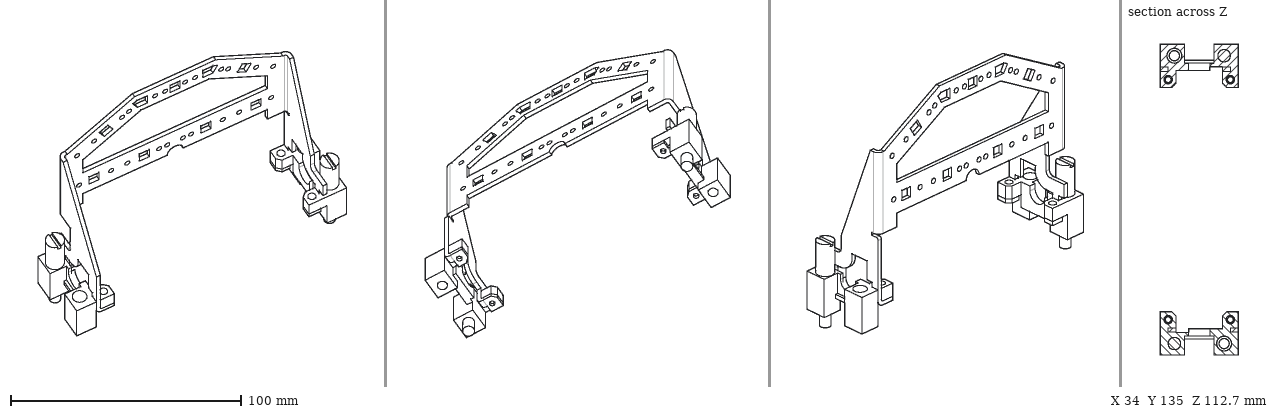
import cadquery as cq
import math

WIDTH_X = 34.0
LENGTH_Y = 135.0
MID_X = WIDTH_X / 2
Z_BASE = 0.0
Z_TOP = 112.7
CUT = 13.5

SHEET = 2.0
BEND_OUTER = 3.0
BEND_INNER = BEND_OUTER - SHEET
FLANGE_Y = 57.6
WEB_HALF_Y = FLANGE_Y - BEND_OUTER

WEB_BOTTOM_Z = 52.9
SHOULDER_Z = 93.3
SLOPE = math.radians(30)
ARCH_TOP_HALF_Y = 20.2
SHOULDER_HALF_Y = ARCH_TOP_HALF_Y + (Z_TOP - SHOULDER_Z) / math.tan(SLOPE)
WINDOW_HALF_Y = 46.2
WINDOW_BOTTOM_Z = 74.9
WINDOW_TOP_Z = 101.0
WINDOW_TOP_HALF_Y = 17.0
WINDOW_SIDE_Z = WINDOW_TOP_Z - (WINDOW_HALF_Y - WINDOW_TOP_HALF_Y) * math.tan(SLOPE)
CROSSBAR_BOTTOM_Z = 59.8
NOTCH_RADIUS = 3.9
SMALL_HOLE_D = 2.4
SQUARE = 5.0

TOP_ROW_Z = 106.6
TOP_ROW_HOLES_Y = [5.0, 10.0]
CROSSBAR_ROW_Z = 67.2
CROSSBAR_HOLES_Y = [3.9, 8.0, 23.9, 32.0, 48.0]
CROSSBAR_SQUARES_Y = [15.4, 40.5]
CORNER_ROW_Y = 18.6
SLOPE_HOLES = [5.1, 9.2, 25.2, 35.1]
SLOPE_SQUARE = 18.4
CORNER_WINDOW_INNER_Y = 13.9
CORNER_WINDOW_SIDE = 4.5

SLANT_TOP_X = 4.9
SLANT_END_Z = 44.1
FLANGE_BOTTOM_Z = 28.5
SCREW_NOTCH_X = 11.1
SCREW_NOTCH_Z = 35.4
SCREW_NOTCH_RADIUS = 2.4
OPENING_TOP_Z = 37.8
OPENING_END_X = 27.0
LOBE_RADIUS = 7.3
LOBE_X = 10.7
RELIEF_LENGTH = 4.2
RELIEF_HEIGHT = 1.2
RELIEF_CORNER = 1.1

EAR_WIDTH = 7.0
EAR_TIP_Y = 48.6
EAR_CHAMFER = 2.0
EAR_LEFT_XS = [0.0, WIDTH_X - EAR_WIDTH]
EAR_HOLE_Y = 52.1
LEG_OFFSET = 3.4
TAB_BOTTOM_Z = 17.7
TAB_TOP_Z = TAB_BOTTOM_Z + SHEET
TAB_HOLE_D = 2.4
EAR_HOLE_D = 3.5

BLOCK_TOP_Z = 26.2
BLOCK_BOTTOM_Z = 7.3
GUIDE_POST_BOTTOM_Z = 8.1
POST_WIDTH = 10.7
BRIDGE_INNER_Y = 56.0
BRIDGE_OUTER_Y = 59.3
LIP_Y = 60.6
LIP_TOP_Z = 16.2
LIP_BOTTOM_Z = 14.2
BRIDGE_BOTTOM_Z = 13.5
SADDLE_RADIUS = 4.6
SADDLE_Z = 23.8
SCREW_X = 6.2
SCREW_Y = 62.5
GUIDE_HOLE_D = 4.3
COUNTERBORE_D = 6.3
COUNTERBORE_DEPTH = 9.5

HEAD_D = 8.4
HEAD_TOP_Z = 42.0
SHANK_D = 5.1
SLOT_WIDTH = 1.6
SLOT_DEPTH = 1.4


def box(x0, x1, y0, y1, z0, z1):
    return cq.Workplane("XY").box(x1 - x0, y1 - y0, z1 - z0, centered=False).translate((x0, y0, z0))


def upright_cylinder(x, y, diameter, z0, z1):
    return cq.Workplane("XY", origin=(x, y, z0)).circle(diameter / 2).extrude(z1 - z0)


def opposite_end(body):
    """Half turn about the vertical centre line, from the -Y end to the +Y end."""
    return body.rotate((MID_X, 0, 0), (MID_X, 0, 1), 180)


def bend(plane, u, v, length):
    """Quarter ring of sheet around (u, v), lying on the -u, -v side of it."""
    diagonal = math.sqrt(0.5)
    return (
        plane.moveTo(u - BEND_OUTER, v)
        .threePointArc((u - BEND_OUTER * diagonal, v - BEND_OUTER * diagonal), (u, v - BEND_OUTER))
        .lineTo(u, v - BEND_INNER)
        .threePointArc((u - BEND_INNER * diagonal, v - BEND_INNER * diagonal), (u - BEND_INNER, v))
        .close()
        .extrude(length)
    )


def yz_prism(points, x0, x1):
    """Prism of a (y, z) outline from x0 to x1."""
    return cq.Workplane("YZ", origin=(x0, 0, 0)).polyline(points).close().extrude(x1 - x0)


def web_square(y, z, turn=0.0):
    return (
        cq.Workplane("YZ", origin=(-CUT, y, z))
        .transformed(rotate=(0, 0, turn))
        .rect(SQUARE, SQUARE)
        .extrude(2 * CUT)
    )


def along_slope(distance, side):
    y = CORNER_ROW_Y + distance * math.cos(SLOPE)
    z = TOP_ROW_Z - distance * math.sin(SLOPE)
    return side * y, z


def corner_window(side):
    """Five-sided window where the arch turns: a square running into a tilted square."""
    bottom = TOP_ROW_Z - SQUARE / 2
    top = TOP_ROW_Z + SQUARE / 2
    low_y = CORNER_WINDOW_INNER_Y + SQUARE
    tip_y = low_y + CORNER_WINDOW_SIDE * math.sin(SLOPE)
    tip_z = bottom + CORNER_WINDOW_SIDE * math.cos(SLOPE)
    shoulder_y = tip_y - (top - tip_z) / math.tan(SLOPE)
    points = [
        (CORNER_WINDOW_INNER_Y, bottom),
        (low_y, bottom),
        (tip_y, tip_z),
        (shoulder_y, top),
        (CORNER_WINDOW_INNER_Y, top),
    ]
    return yz_prism([(side * y, z) for y, z in points], -CUT, CUT)


def make_web():
    half_outline = [
        (WINDOW_HALF_Y, CROSSBAR_BOTTOM_Z),
        (WINDOW_HALF_Y, WEB_BOTTOM_Z),
        (WEB_HALF_Y, WEB_BOTTOM_Z),
        (WEB_HALF_Y, SHOULDER_Z),
        (SHOULDER_HALF_Y, SHOULDER_Z),
        (ARCH_TOP_HALF_Y, Z_TOP),
    ]
    outline = half_outline + [(-y, z) for y, z in reversed(half_outline)]
    web = yz_prism(outline, 0, SHEET)

    half_window = [
        (WINDOW_HALF_Y, WINDOW_BOTTOM_Z),
        (WINDOW_HALF_Y, WINDOW_SIDE_Z),
        (WINDOW_TOP_HALF_Y, WINDOW_TOP_Z),
    ]
    window = half_window + [(-y, z) for y, z in reversed(half_window)]
    web = web.cut(yz_prism(window, -CUT, CUT))

    hole_points = []
    for side in (-1, 1):
        hole_points += [(side * y, TOP_ROW_Z) for y in TOP_ROW_HOLES_Y]
        hole_points += [(side * y, CROSSBAR_ROW_Z) for y in CROSSBAR_HOLES_Y]
        hole_points += [along_slope(distance, side) for distance in SLOPE_HOLES]
        for y in CROSSBAR_SQUARES_Y:
            web = web.cut(web_square(side * y, CROSSBAR_ROW_Z))
        web = web.cut(web_square(*along_slope(SLOPE_SQUARE, side), turn=-side * math.degrees(SLOPE)))
        web = web.cut(corner_window(side))
    web = web.cut(web_square(0, TOP_ROW_Z))

    through = cq.Workplane("YZ", origin=(-CUT, 0, 0))
    web = web.cut(through.pushPoints(hole_points).circle(SMALL_HOLE_D / 2).extrude(2 * CUT))
    return web.cut(through.center(0, CROSSBAR_BOTTOM_Z).circle(NOTCH_RADIUS).extrude(2 * CUT))


def flange_blank(slant_end_x):
    """Uncut side flange at the -Y end; above the web bottom it starts at the bend."""
    outline = [
        (0, SLANT_END_Z),
        (slant_end_x, SLANT_END_Z),
        (SLANT_TOP_X, SHOULDER_Z),
        (BEND_OUTER, SHOULDER_Z),
        (BEND_OUTER, WEB_BOTTOM_Z),
        (0, WEB_BOTTOM_Z),
    ]
    inner_y = -FLANGE_Y + SHEET
    upper = cq.Workplane("XZ", origin=(0, inner_y, 0)).polyline(outline).close().extrude(SHEET)
    lower = box(0, WIDTH_X, -FLANGE_Y, inner_y, FLANGE_BOTTOM_Z, SLANT_END_Z)
    return upper.union(lower)


def screw_notch():
    """Clearance for the screw head at the -Y end, rounded in its inner lower corner."""
    notch = box(-CUT, SCREW_NOTCH_X, -FLANGE_Y - CUT, -FLANGE_Y + CUT, SCREW_NOTCH_Z, WEB_BOTTOM_Z)
    return notch.edges("|Y and >X and <Z").fillet(SCREW_NOTCH_RADIUS)


def flange_opening():
    """Opening above the saddle at the -Y end; the flange ends in a round lobe beside it."""
    y0, y1 = -FLANGE_Y - CUT, -FLANGE_Y + CUT
    opening = box(LOBE_X, OPENING_END_X, y0, y1, FLANGE_BOTTOM_Z, OPENING_TOP_Z)
    lobe = (
        cq.Workplane("XZ", origin=(LOBE_X, y1, FLANGE_BOTTOM_Z + LOBE_RADIUS))
        .circle(LOBE_RADIUS)
        .extrude(y1 - y0)
    )
    return opening.cut(lobe)


def bend_relief():
    """Slit under the bend at the +Y end, with the rounded corner below it."""
    y0, y1 = FLANGE_Y - CUT, FLANGE_Y + CUT
    slit_z = WEB_BOTTOM_Z - RELIEF_HEIGHT
    slit = box(-CUT, RELIEF_LENGTH, y0, y1, slit_z, WEB_BOTTOM_Z)
    corner = box(0, RELIEF_CORNER, y0, y1, slit_z - RELIEF_CORNER, slit_z)
    rounding = (
        cq.Workplane("XZ", origin=(RELIEF_CORNER, y1, slit_z - RELIEF_CORNER))
        .circle(RELIEF_CORNER)
        .extrude(y1 - y0)
    )
    return slit.union(corner.cut(rounding))


def chamfered_ear(left_x, root_y, z0, z1):
    """Flat ear at the -Y end, with its tip corner towards the middle cut off."""
    ear = box(left_x, left_x + EAR_WIDTH, root_y, -EAR_TIP_Y, z0, z1)
    corner = "|Z and >X and >Y" if left_x < MID_X else "|Z and <X and >Y"
    return ear.edges(corner).chamfer(EAR_CHAMFER)


def ear_hole(left_x, diameter):
    return upright_cylinder(left_x + EAR_WIDTH / 2, -EAR_HOLE_Y, diameter, Z_BASE, BLOCK_TOP_Z + CUT)


def sheet_foot(left_x):
    """Leg of the -Y flange, bent inwards into a tab under the ear."""
    leg_x0 = left_x + LEG_OFFSET
    leg_x1 = left_x + EAR_WIDTH
    bend_z = TAB_BOTTOM_Z + BEND_OUTER
    leg = box(leg_x0, leg_x1, -FLANGE_Y, -FLANGE_Y + SHEET, bend_z, FLANGE_BOTTOM_Z)
    curve = bend(cq.Workplane("YZ", origin=(leg_x0, 0, 0)), -WEB_HALF_Y, bend_z, leg_x1 - leg_x0)
    tab = chamfered_ear(left_x, -WEB_HALF_Y, TAB_BOTTOM_Z, TAB_TOP_Z)
    return leg.union(curve).union(tab).cut(ear_hole(left_x, TAB_HOLE_D))


def make_frame():
    near_flange = flange_blank(WIDTH_X).cut(screw_notch()).cut(flange_opening())
    far_flange = (
        flange_blank(WIDTH_X - SCREW_NOTCH_X)
        .mirror("XZ")
        .cut(opposite_end(screw_notch()))
        .cut(opposite_end(flange_opening()))
        .cut(bend_relief())
    )
    bend_start = cq.Workplane("XY", origin=(0, 0, WEB_BOTTOM_Z))
    near_bend = bend(bend_start, BEND_OUTER, -WEB_HALF_Y, SHOULDER_Z - WEB_BOTTOM_Z)
    frame = make_web().union(near_bend).union(near_bend.mirror("XZ"))
    frame = frame.union(near_flange).union(far_flange)
    for left_x in EAR_LEFT_XS:
        foot = sheet_foot(left_x)
        frame = frame.union(foot).union(opposite_end(foot))
    return frame


def make_bridge():
    """Wall with an outer lip joining the two posts, hollowed by the saddle.

    Its inner side is thickened from the saddle edge by the screw post to the far ear.
    """
    outer_y = -BRIDGE_OUTER_Y
    underside_slope = (LIP_BOTTOM_Z - BRIDGE_BOTTOM_Z) / (LIP_Y - BRIDGE_INNER_Y)
    root_bottom_z = BRIDGE_BOTTOM_Z + underside_slope * (FLANGE_Y - BRIDGE_INNER_Y)
    wall_profile = [
        (-FLANGE_Y, root_bottom_z),
        (-FLANGE_Y, BLOCK_TOP_Z),
        (outer_y, BLOCK_TOP_Z),
        (outer_y, LIP_TOP_Z),
        (-LIP_Y, LIP_TOP_Z),
        (-LIP_Y, LIP_BOTTOM_Z),
    ]
    thickening_profile = [
        (-FLANGE_Y, root_bottom_z),
        (-BRIDGE_INNER_Y, BRIDGE_BOTTOM_Z),
        (-BRIDGE_INNER_Y, BLOCK_TOP_Z),
        (-FLANGE_Y, BLOCK_TOP_Z),
    ]
    saddle_x0 = MID_X - SADDLE_RADIUS
    saddle_x1 = MID_X + SADDLE_RADIUS
    wall = yz_prism(wall_profile, POST_WIDTH, WIDTH_X - POST_WIDTH)
    thickening = yz_prism(thickening_profile, saddle_x0, WIDTH_X - EAR_WIDTH)
    saddle = (
        cq.Workplane("XZ", origin=(MID_X, 0, SADDLE_Z))
        .circle(SADDLE_RADIUS)
        .extrude(LENGTH_Y / 2)
    )
    slot = box(saddle_x0, saddle_x1, -LENGTH_Y / 2, 0, SADDLE_Z, BLOCK_TOP_Z)
    return wall.union(thickening).cut(saddle).cut(slot)


def make_block(frame):
    """Foot block of the -Y end, recessed where the sheet legs pass down through its ears."""
    block = make_bridge()
    for post_x, bottom_z in ((0, BLOCK_BOTTOM_Z), (WIDTH_X - POST_WIDTH, GUIDE_POST_BOTTOM_Z)):
        post = box(post_x, post_x + POST_WIDTH, -LENGTH_Y / 2, -FLANGE_Y, bottom_z, BLOCK_TOP_Z)
        block = block.union(post)
    for left_x in EAR_LEFT_XS:
        ear = chamfered_ear(left_x, -FLANGE_Y, TAB_TOP_Z, BLOCK_TOP_Z)
        block = block.union(ear.cut(ear_hole(left_x, EAR_HOLE_D)))

    guide_x = WIDTH_X - SCREW_X
    block = block.cut(upright_cylinder(SCREW_X, -SCREW_Y, SHANK_D, Z_BASE, BLOCK_TOP_Z))
    block = block.cut(upright_cylinder(guide_x, -SCREW_Y, GUIDE_HOLE_D, Z_BASE, BLOCK_TOP_Z))
    counterbore_z = BLOCK_TOP_Z - COUNTERBORE_DEPTH
    block = block.cut(upright_cylinder(guide_x, -SCREW_Y, COUNTERBORE_D, counterbore_z, BLOCK_TOP_Z))
    return block.cut(frame)


def make_screw():
    """Slotted screw of the -Y end; its tall head stands on the block."""
    shank = upright_cylinder(SCREW_X, -SCREW_Y, SHANK_D, Z_BASE, BLOCK_TOP_Z)
    head = upright_cylinder(SCREW_X, -SCREW_Y, HEAD_D, BLOCK_TOP_Z, HEAD_TOP_Z)
    slot = box(
        SCREW_X - HEAD_D,
        SCREW_X + HEAD_D,
        -SCREW_Y - SLOT_WIDTH / 2,
        -SCREW_Y + SLOT_WIDTH / 2,
        HEAD_TOP_Z - SLOT_DEPTH,
        HEAD_TOP_Z,
    )
    return shank.union(head).cut(slot)


frame = make_frame()
block = make_block(frame)
screw = make_screw()

end_parts = []
for part in (block, screw):
    end_parts += [part.val(), opposite_end(part).val()]

result = cq.Compound.makeCompound([frame.val(), *end_parts])